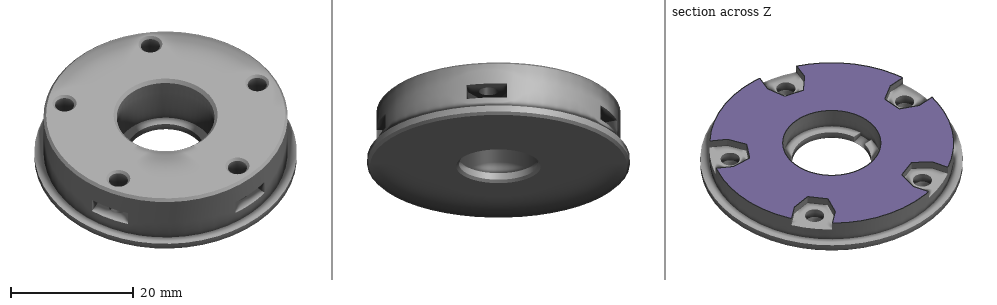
import cadquery as cq
import math

flange_diameter = 43.0
flange_height = 1.5
body_diameter = 40.0
total_height = 10.0
edge_chamfer = 0.45

bore_diameter = 16.0
through_diameter = 13.0
bore_floor = 1.6
bore_chamfer = 0.5
through_chamfer = 0.45

groove_width = 2.5
groove_outer_depth = 0.65
groove_floor_slope = 18

screw_count = 5
screw_circle_radius = 16.75
screw_diameter = 3.15
screw_chamfer = 0.4
screw_floor = 1.98
drill_point_angle = 118
nut_corner_width = 6.7
nut_slot_floor = 3.6
nut_slot_height = 2.5


def make_body():
    flange = (
        cq.Workplane("XY")
        .circle(flange_diameter / 2)
        .extrude(flange_height)
        .faces("<Z")
        .chamfer(edge_chamfer)
    )
    body = (
        cq.Workplane("XY")
        .circle(body_diameter / 2)
        .extrude(total_height)
        .faces(">Z")
        .chamfer(edge_chamfer)
    )
    return flange.union(body)


def make_bore():
    """Revolved cutter: through hole, wider bore above it, both with chamfered mouths."""
    bore_radius = bore_diameter / 2
    through_radius = through_diameter / 2
    return (
        cq.Workplane("XZ")
        .polyline([
            (0, 0),
            (through_radius + through_chamfer, 0),
            (through_radius, through_chamfer),
            (through_radius, bore_floor),
            (bore_radius, bore_floor),
            (bore_radius, total_height - bore_chamfer),
            (bore_radius + bore_chamfer, total_height),
            (0, total_height),
        ])
        .close()
        .revolve(360, (0, 0, 0), (0, 1, 0))
    )


def make_groove():
    """Parallel-sided groove on the +X side whose conical floor falls toward the axis."""
    bore_radius = bore_diameter / 2
    outer_floor = bore_floor - groove_outer_depth
    axis_floor = outer_floor - bore_radius * math.tan(math.radians(groove_floor_slope))
    cone = (
        cq.Workplane("XZ")
        .polyline([
            (0, axis_floor),
            (bore_radius, outer_floor),
            (bore_radius, bore_floor),
            (0, bore_floor),
        ])
        .close()
        .revolve(360, (0, 0, 0), (0, 1, 0))
    )
    strip = cq.Workplane("XY").box(
        bore_diameter, groove_width, 2 * total_height, centered=(False, True, True)
    )
    return cone.intersect(strip)


def make_screw_hole():
    """Revolved cutter: chamfered blind hole with a conical drill point."""
    radius = screw_diameter / 2
    point_depth = radius / math.tan(math.radians(drill_point_angle / 2))
    return (
        cq.Workplane("XZ")
        .polyline([
            (0, screw_floor - point_depth),
            (radius, screw_floor),
            (radius, total_height - screw_chamfer),
            (radius + screw_chamfer, total_height),
            (0, total_height),
        ])
        .close()
        .revolve(360, (0, 0, 0), (0, 1, 0))
    )


def make_nut_slot():
    """Hexagonal nut seat with corners at its sides, extended outward through the rim."""
    slot_plane = cq.Workplane("XY").workplane(offset=nut_slot_floor)
    seat = slot_plane.polygon(6, nut_corner_width).extrude(nut_slot_height)
    seat = seat.rotate((0, 0, 0), (0, 0, 1), 90)
    channel_length = flange_diameter / 2 - screw_circle_radius
    channel = slot_plane.center(channel_length / 2, 0).rect(channel_length, nut_corner_width)
    return seat.union(channel.extrude(nut_slot_height))


result = make_body().cut(make_bore()).cut(make_groove())

screw_cutter = make_screw_hole().union(make_nut_slot()).translate((screw_circle_radius, 0, 0))
for index in range(screw_count):
    angle = index * 360 / screw_count
    result = result.cut(screw_cutter.rotate((0, 0, 0), (0, 0, 1), angle))